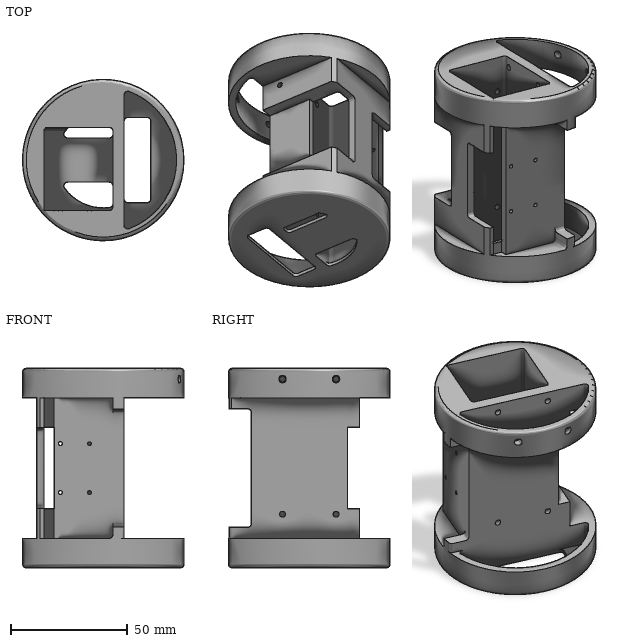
import cadquery as cq
import math

outer_radius = 34.67
height = 85.72
disc_thickness = 12.7
rim_wall = 3.175
panel = 3.25
blend = rim_wall / 2
floor = rim_wall / 2

pocket_left = -25.4
pocket_right = 4.14
pocket_front = -21.67
pocket_back = 13.97
divider_right = 8.98

front_sheet_left = -21.1
mid_back_wall_left = -12.0
mid_back_wall_face = 16.5
window_half_height = 17.46
neck_half_width = 6.35
tab_inner_z = 25.4

bridge_half_width = 9.525
floor_slot_radius = 20.5
cable_slot_length = 11.4
cable_slot_half_width = 18.26

sheet_hole_diameter = 1.6
sheet_hole_xs = (-18.4, -5.9)
sheet_hole_half_spacing = 10.5
board_hole_diameter = 2.5
rim_hole_diameter = 3.175
board_hole_half_spacing = 11.5
board_hole_zs = (-19.8, 38.2)
block_hole_diameter = 2.4
block_hole_x = 0
block_hole_z = 27.0

half_height = height / 2
disc_inner_z = half_height - disc_thickness
floor_z = -half_height + floor
inner_radius = outer_radius - rim_wall
plate_left = pocket_left - panel
sheet_face = pocket_front - panel
block_back = -pocket_front


def box(x0, x1, y0, y1, z0, z1):
    """Axis-aligned box between two corners."""
    return cq.Workplane("XY").box(x1 - x0, y1 - y0, z1 - z0, centered=False).translate((x0, y0, z0))


def cylinder(radius, z0, z1):
    """Cylinder about the Z axis."""
    return cq.Workplane("XY").workplane(offset=z0).circle(radius).extrude(z1 - z0)


def cove(plane, corner, along, length):
    """Concave fillet bar: corner is its square corner, along gives the signs of the two legs."""
    u, v = corner
    du, dv = along[0] * blend, along[1] * blend
    arc_offset = 1 - math.sqrt(0.5)
    return (
        cq.Workplane(plane)
        .moveTo(u, v)
        .lineTo(u + du, v)
        .threePointArc((u + du * arc_offset, v + dv * arc_offset), (u, v + dv))
        .close()
        .extrude(length)
    )


def disc(z0, z1, outer_face):
    """End disc with its outer rim rounded."""
    return cylinder(outer_radius, z0, z1).faces(outer_face).edges().fillet(blend)


def left_plate():
    """Flat plate on the -X side, waisted to a neck between two side windows."""
    plate = box(plate_left, pocket_left, pocket_front, block_back, -disc_inner_z, disc_inner_z)
    for side in (-1, 1):
        window = (
            box(plate_left, pocket_left, neck_half_width, outer_radius,
                -window_half_height, window_half_height)
            .edges("|X and <Y")
            .fillet(blend)
        )
        if side < 0:
            window = window.mirror("XZ")
        plate = plate.cut(window)
    return plate.intersect(cylinder(outer_radius, -disc_inner_z, disc_inner_z))


def pocket_walls():
    """Front sheet, divider and back wall with its two thick blocks."""
    walls = box(front_sheet_left, divider_right, sheet_face, pocket_front, -disc_inner_z, disc_inner_z)
    walls = walls.union(
        box(pocket_right, divider_right, sheet_face, mid_back_wall_face, -disc_inner_z, disc_inner_z)
    )
    walls = walls.union(
        box(mid_back_wall_left, divider_right, pocket_back, mid_back_wall_face,
            -window_half_height, window_half_height)
    )
    for z0, z1 in ((-disc_inner_z, -window_half_height), (window_half_height, disc_inner_z)):
        walls = walls.union(box(pocket_left, divider_right, pocket_back, block_back, z0, z1))
    return walls


def tab(end):
    """Gusset between the front sheet and one disc; end is +1 at the top, -1 at the bottom."""
    z_low, z_high = sorted((end * tab_inner_z, end * disc_inner_z))
    gusset = box(pocket_right, divider_right, -outer_radius, sheet_face, z_low, z_high)
    gusset = gusset.intersect(cylinder(outer_radius, z_low, z_high))
    if end < 0:
        gusset = gusset.edges("|Z").edges(">X").edges("<Y").fillet(blend)
    sheet_cove = cove("YZ", (sheet_face, end * tab_inner_z), (-1, -end), divider_right - pocket_right)
    return gusset.union(sheet_cove.translate((pocket_right, 0, 0)))


def bottom_tab_cove():
    """Fillet where the bottom tab meets the top of the bottom disc."""
    bar = cove("XZ", (pocket_right, -disc_inner_z), (-1, 1), outer_radius + sheet_face)
    bar = bar.translate((0, sheet_face, 0))
    return bar.intersect(cylinder(outer_radius, -half_height, half_height))


def pocket_coves():
    """Corner fillets of the pocket: both right corners, upper back-left corner and back floor edge."""
    front_right = cove("XY", (pocket_right, pocket_front), (-1, 1), half_height - floor_z)
    back_right = cove("XY", (pocket_right, pocket_back), (-1, -1), half_height - floor_z)
    back_left = cove("XY", (pocket_left, pocket_back), (1, -1), half_height - window_half_height)
    back_floor = cove("YZ", (pocket_back, floor_z), (-1, 1), pocket_right - pocket_left)
    coves = front_right.union(back_right).translate((0, 0, floor_z))
    coves = coves.union(back_left.translate((0, 0, window_half_height)))
    return coves.union(back_floor.translate((pocket_left, 0, 0)))


def d_opening(z0, z1):
    """D-shaped space to the right of the divider."""
    half_box = box(divider_right, outer_radius, -outer_radius, outer_radius, z0, z1)
    return cylinder(inner_radius, z0, z1).intersect(half_box).edges("|Z").fillet(blend)


def floor_openings():
    """Two arc-ended slots under the pocket and one rectangular slot under the D opening."""
    round_area = cylinder(floor_slot_radius, -half_height, floor_z + blend)
    front_area = box(pocket_left, pocket_right, pocket_front, -bridge_half_width, -half_height, floor_z)
    back_area = box(pocket_left, pocket_right, bridge_half_width, pocket_back, -half_height, floor_z + blend)
    front_slot = round_area.intersect(front_area).edges("|Z").fillet(blend)
    back_slot = round_area.intersect(back_area).edges("|Z and (<Y or >X)").fillet(blend)
    cable_slot = box(divider_right, divider_right + cable_slot_length,
                     -cable_slot_half_width, cable_slot_half_width, -half_height, floor_z)
    return front_slot.union(back_slot).union(cable_slot.edges("|Z").fillet(blend))


def holes_along_y(points, diameter, y0, y1):
    """Round holes parallel to Y at the given (x, z) points."""
    drills = cq.Workplane("XZ").pushPoints(points).circle(diameter / 2).extrude(y0 - y1)
    return drills.translate((0, y0, 0))


def hole_along_x(centre, diameter, x0, x1):
    """Round hole parallel to X centred at (y, z)."""
    return cq.Workplane("YZ").workplane(offset=x0).center(*centre).circle(diameter / 2).extrude(x1 - x0)


def screw_holes():
    """Front sheet holes, back block holes, board holes in the divider and access holes in the top rim."""
    sheet_points = [(x, side * sheet_hole_half_spacing) for x in sheet_hole_xs for side in (-1, 1)]
    drills = holes_along_y(sheet_points, sheet_hole_diameter, sheet_face, pocket_front)
    block_points = [(block_hole_x, -block_hole_z), (block_hole_x, block_hole_z)]
    drills = drills.union(holes_along_y(block_points, block_hole_diameter, pocket_back, block_back))
    for side in (-1, 1):
        for z in board_hole_zs:
            centre = (side * board_hole_half_spacing, z)
            board_hole = hole_along_x(centre, board_hole_diameter, pocket_right - blend, divider_right)
            drills = drills.union(board_hole)
        rim_centre = (side * board_hole_half_spacing, max(board_hole_zs))
        drills = drills.union(hole_along_x(rim_centre, rim_hole_diameter, divider_right, outer_radius))
    return drills


body = disc(-half_height, -disc_inner_z, "<Z").union(disc(disc_inner_z, half_height, ">Z"))
body = body.union(left_plate()).union(pocket_walls())
body = body.union(tab(1)).union(tab(-1)).union(bottom_tab_cove())
body = body.cut(box(pocket_left, pocket_right, pocket_front, pocket_back, floor_z, half_height))
body = body.union(pocket_coves())
body = body.cut(d_opening(floor_z, -disc_inner_z)).cut(d_opening(disc_inner_z, half_height))
body = body.cut(floor_openings())
result = body.cut(screw_holes())